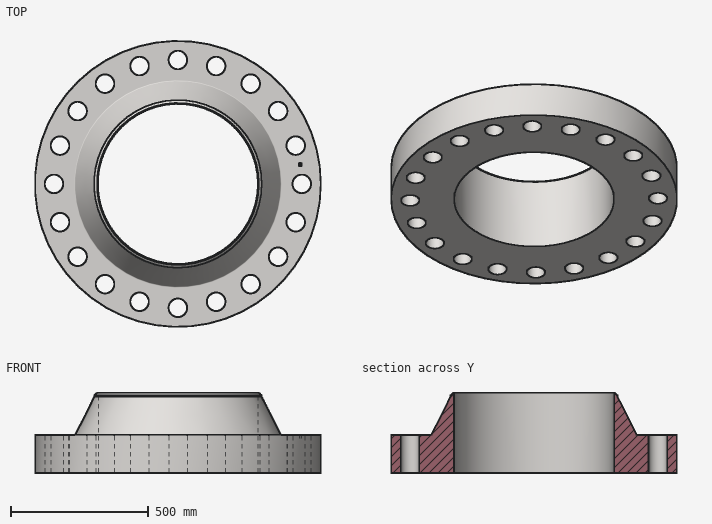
import cadquery as cq

flange_diameter = 1041.0
flange_thickness = 140.0
total_height = 293.0

bolt_count = 20
bolt_circle_diameter = 902.0
bolt_hole_diameter = 67.0

bore_diameter = 582.0
hub_base_diameter = 750.0
hub_fillet_radius = 4.0
weld_end_diameter = 610.0
weld_land_height = 5.0
bevel_height = 9.0
bevel_width = 10.0

small_hole_diameter = 6.0
small_hole_depth = 10.0
small_hole_chamfer = 3.0


def make_body():
    """Revolve half of the flange and neck section about Z."""
    bore_radius = bore_diameter / 2
    flange_radius = flange_diameter / 2
    hub_radius = hub_base_diameter / 2
    weld_radius = weld_end_diameter / 2
    bevel_bottom = total_height - bevel_height
    cone_top = bevel_bottom - weld_land_height
    section = (
        cq.Workplane("XZ")
        .moveTo(bore_radius, 0)
        .lineTo(flange_radius, 0)
        .lineTo(flange_radius, flange_thickness)
        .lineTo(hub_radius, flange_thickness)
        .lineTo(weld_radius, cone_top)
        .lineTo(weld_radius, bevel_bottom)
        .lineTo(weld_radius - bevel_width, total_height)
        .lineTo(bore_radius, total_height)
        .close()
    )
    body = section.revolve(360, (0, 0), (0, 1))
    reach = hub_radius + hub_fillet_radius
    hub_base = cq.selectors.BoxSelector(
        (-reach, -reach, flange_thickness - hub_fillet_radius),
        (reach, reach, flange_thickness + hub_fillet_radius),
        boundingbox=True,
    )
    return body.edges(hub_base).fillet(hub_fillet_radius)


def bolt_hole_cutters():
    return (
        cq.Workplane("XY")
        .polarArray(bolt_circle_diameter / 2, 0, 360, bolt_count)
        .circle(bolt_hole_diameter / 2)
        .extrude(flange_thickness)
    )


def small_hole_cutter():
    """Plain hole with a conical mouth that widens to the flange face."""
    half_pitch = 360 / bolt_count / 2
    hole_radius = small_hole_diameter / 2
    mouth_radius = hole_radius + small_hole_chamfer
    section = (
        cq.Workplane("XZ", origin=(bolt_circle_diameter / 2, 0, flange_thickness))
        .moveTo(0, 0)
        .lineTo(mouth_radius, 0)
        .lineTo(hole_radius, -small_hole_chamfer)
        .lineTo(hole_radius, -small_hole_depth)
        .lineTo(0, -small_hole_depth)
        .close()
    )
    cutter = section.revolve(360, (0, 0), (0, 1))
    return cutter.rotate((0, 0, 0), (0, 0, 1), half_pitch)


result = make_body().cut(bolt_hole_cutters()).cut(small_hole_cutter())